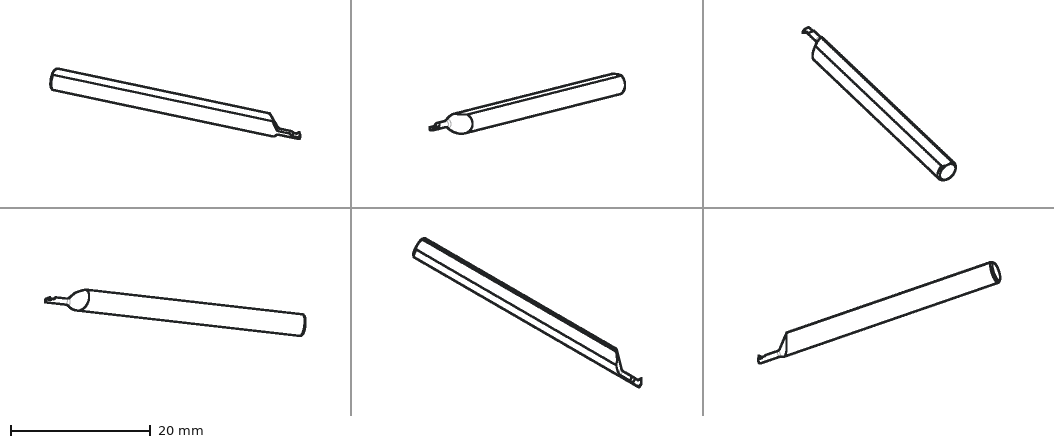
import cadquery as cq
import math

total_length = 38.1
shank_diameter = 3.175
shank_radius = shank_diameter / 2
flat_height = 1.3225
rear_chamfer = 0.25

neck_radius = 0.46
neck_edge_y = -0.755
neck_axis_y = neck_edge_y - neck_radius
neck_length = 3.34
neck_root_x = total_length - neck_length
root_fillet = 0.55
cone_angle = math.radians(45)

tip_flat_length = 1.08
tip_flat_x = total_length - tip_flat_length

tooth_half_angle = math.radians(30)
flank_slope = math.tan(tooth_half_angle)
tooth_point_setback = 0.38
tooth_point_x = total_length - tooth_point_setback
tooth_point_y = -0.27
tooth_thickness = 0.2
inner_flank_x = tooth_point_x - (tooth_point_y - neck_axis_y) * flank_slope
outer_flank_y = tooth_point_y - tooth_point_setback / flank_slope


def make_shank():
    """Full-length round bar with a rear chamfer and a flat on top."""
    bar = cq.Workplane("YZ").circle(shank_radius).extrude(total_length)
    bar = bar.faces("<X").chamfer(rear_chamfer)
    above_flat = (
        cq.Workplane("XY", origin=(total_length / 2, 0, flat_height))
        .rect(total_length, shank_diameter)
        .extrude(shank_radius)
    )
    return bar.cut(above_flat)


def make_cone_and_neck():
    """Envelope revolved about the neck axis: clear of the shank, then cone, fillet and neck."""
    outer_radius = shank_diameter
    cone_start_x = neck_root_x - (outer_radius - neck_radius) / math.tan(cone_angle)
    tangent_length = root_fillet * math.tan(cone_angle / 2)
    fillet_start = (
        neck_root_x - tangent_length * math.cos(cone_angle),
        neck_radius + tangent_length * math.sin(cone_angle),
    )
    fillet_end = (neck_root_x + tangent_length, neck_radius)
    fillet_middle = (
        fillet_end[0] - root_fillet * math.sin(cone_angle / 2),
        neck_radius + root_fillet * (1 - math.cos(cone_angle / 2)),
    )
    return (
        cq.Workplane("XZ", origin=(0, neck_axis_y, 0))
        .moveTo(0, 0)
        .lineTo(0, outer_radius)
        .lineTo(cone_start_x, outer_radius)
        .lineTo(*fillet_start)
        .threePointArc(fillet_middle, fillet_end)
        .lineTo(total_length, neck_radius)
        .lineTo(total_length, 0)
        .close()
        .revolve(360, (0, 0, 0), (1, 0, 0))
    )


def make_tip_relief():
    """Material to remove above the cutting height at the tip, ending in the ramp."""
    relief_height = neck_radius * 2
    return (
        cq.Workplane("XZ")
        .moveTo(tip_flat_x, 0)
        .lineTo(tip_flat_x - relief_height, relief_height)
        .lineTo(total_length, relief_height)
        .lineTo(total_length, 0)
        .close()
        .extrude(shank_radius, both=True)
    )


def make_tooth():
    """Pointed tooth reaching from the neck axis toward +Y, below the cutting height."""
    return (
        cq.Workplane("XY")
        .moveTo(inner_flank_x, neck_axis_y)
        .lineTo(tooth_point_x, tooth_point_y)
        .lineTo(total_length, outer_flank_y)
        .lineTo(total_length, neck_axis_y)
        .close()
        .extrude(-tooth_thickness)
    )


def make_front_corner():
    """Material to remove from the neck outside the outer flank of the tooth."""
    return (
        cq.Workplane("XY")
        .moveTo(tooth_point_x, tooth_point_y)
        .lineTo(total_length, tooth_point_y)
        .lineTo(total_length, outer_flank_y)
        .close()
        .extrude(neck_radius, both=True)
    )


body = make_shank().intersect(make_cone_and_neck())
body = body.cut(make_tip_relief())
result = body.union(make_tooth()).cut(make_front_corner())